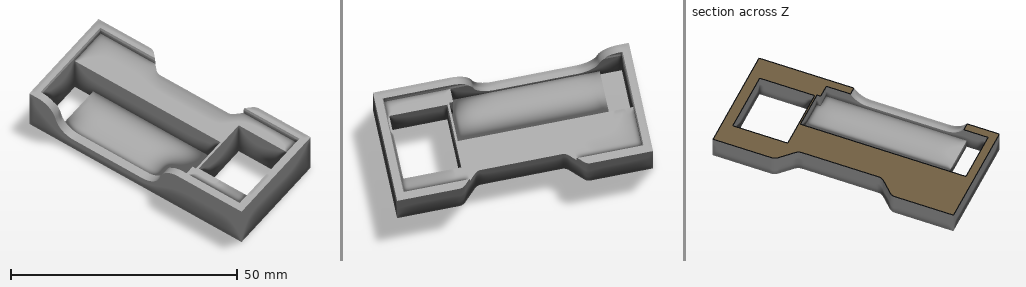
import cadquery as cq
import math

LENGTH = 57.8
WIDTH = 26.2
HEIGHT = 10.6

SHELF_Z = 9.0
RIM_TOP_WALL = 1.8
RIM_BASE_WALL = 2.02
RIM_BEVEL_DEPTH = 0.55

POCKET_FLOOR_Z = 2.0
POCKET_LEFT = RIM_BASE_WALL
POCKET_FRONT = RIM_BASE_WALL
POCKET_RIGHT = 41.65
POCKET_BACK = 14.45
STEP_X = 40.75
STEP_Y = 5.2

SLOT_RIGHT = 7.0
WINDOW_LEFT = 42.15
WINDOW_FRONT = 5.55
WINDOW_LENGTH = 13.1
WINDOW_WIDTH = 15.15

NOTCH_DEPTH = 4.0
NOTCH_FLOOR_LENGTH = 20.0
NOTCH_CORNER_RADIUS = 2.0

SCOOP_FLOOR_Z = 3.0
SCOOP_FLAT_LENGTH = 18.7
SCOOP_RADIUS = 5.0
SCOOP_CENTER_X = (POCKET_LEFT + STEP_X) / 2


def box_between(x0, x1, y0, y1, z0, z1):
    """Box given by its limits along each axis."""
    return cq.Workplane("XY").box(x1 - x0, y1 - y0, z1 - z0, centered=False).translate((x0, y0, z0))


def rim_rectangle(wall, z):
    """Rectangle inset from the outer block by a wall thickness, at height z."""
    return (
        cq.Workplane("XY", origin=(LENGTH / 2, WIDTH / 2, z))
        .rect(LENGTH - 2 * wall, WIDTH - 2 * wall)
    )


def shelf_recess():
    """Straight-sided recess above the shelf, widening in a sloped band at the top."""
    bevel_z = HEIGHT - RIM_BEVEL_DEPTH
    straight = rim_rectangle(RIM_BASE_WALL, SHELF_Z).extrude(HEIGHT - SHELF_Z)
    bevel = (
        rim_rectangle(RIM_BASE_WALL, bevel_z)
        .workplane(offset=RIM_BEVEL_DEPTH)
        .rect(LENGTH - 2 * RIM_TOP_WALL, WIDTH - 2 * RIM_TOP_WALL)
        .loft(ruled=True)
    )
    return straight.union(bevel)


def front_rim_relief():
    """Trim along the front rim: upright at the top, sloping out to the shelf at the bottom."""
    profile = [
        (RIM_TOP_WALL, HEIGHT),
        (RIM_TOP_WALL, SHELF_Z + RIM_BEVEL_DEPTH),
        (RIM_BASE_WALL, SHELF_Z),
        (RIM_BASE_WALL, HEIGHT),
    ]
    return (
        cq.Workplane("YZ", origin=(RIM_BASE_WALL, 0, 0))
        .polyline(profile).close()
        .extrude(LENGTH - 2 * RIM_BASE_WALL)
    )


def pocket():
    """Deep pocket sunk from the shelf."""
    outline = [
        (POCKET_LEFT, POCKET_FRONT),
        (STEP_X, POCKET_FRONT),
        (STEP_X, STEP_Y),
        (POCKET_RIGHT, STEP_Y),
        (POCKET_RIGHT, POCKET_BACK),
        (POCKET_LEFT, POCKET_BACK),
    ]
    return (
        cq.Workplane("XY", origin=(0, 0, POCKET_FLOOR_Z))
        .polyline(outline).close()
        .extrude(HEIGHT - POCKET_FLOOR_Z)
    )


def bottom_slot():
    """Slot through the pocket floor at its left end."""
    return box_between(POCKET_LEFT, SLOT_RIGHT, POCKET_FRONT, POCKET_BACK, 0, HEIGHT)


def window():
    """Rectangular window through the shelf and the bottom."""
    return box_between(
        WINDOW_LEFT, WINDOW_LEFT + WINDOW_LENGTH,
        WINDOW_FRONT, WINDOW_FRONT + WINDOW_WIDTH,
        0, HEIGHT,
    )


def notched_block():
    """Outer block with the round-cornered notch in its back edge."""
    center_x = LENGTH / 2
    floor_half = NOTCH_FLOOR_LENGTH / 2
    mouth_half = floor_half + NOTCH_DEPTH
    floor_y = WIDTH - NOTCH_DEPTH
    notch_corners = [
        (center_x + mouth_half, WIDTH),
        (center_x + floor_half, floor_y),
        (center_x - floor_half, floor_y),
        (center_x - mouth_half, WIDTH),
    ]
    outline = [(0, 0), (LENGTH, 0), (LENGTH, WIDTH)] + notch_corners + [(0, WIDTH)]
    block = cq.Workplane("XY").polyline(outline).close().extrude(HEIGHT)
    for x, y in notch_corners:
        corner_edge = cq.selectors.NearestToPointSelector((x, y, HEIGHT / 2))
        block = block.edges("|Z").edges(corner_edge).fillet(NOTCH_CORNER_RADIUS)
    return block


def scoop():
    """Opening in the front wall whose sides are S-curves of two equal arcs."""
    arc_rise = (HEIGHT - SCOOP_FLOOR_Z) / 2
    sweep = math.acos(1 - arc_rise / SCOOP_RADIUS)
    arc_run = SCOOP_RADIUS * math.sin(sweep)
    mid_run = SCOOP_RADIUS * math.sin(sweep / 2)
    mid_rise = SCOOP_RADIUS * (1 - math.cos(sweep / 2))

    flat_half = SCOOP_FLAT_LENGTH / 2
    bend_half = flat_half + arc_run
    mouth_half = bend_half + arc_run
    bend_z = SCOOP_FLOOR_Z + arc_rise
    lower_mid = (flat_half + mid_run, SCOOP_FLOOR_Z + mid_rise)
    upper_mid = (mouth_half - mid_run, HEIGHT - mid_rise)

    return (
        cq.Workplane("XZ", origin=(SCOOP_CENTER_X, 0, 0))
        .moveTo(-flat_half, SCOOP_FLOOR_Z)
        .lineTo(flat_half, SCOOP_FLOOR_Z)
        .threePointArc(lower_mid, (bend_half, bend_z))
        .threePointArc(upper_mid, (mouth_half, HEIGHT))
        .lineTo(-mouth_half, HEIGHT)
        .threePointArc((-upper_mid[0], upper_mid[1]), (-bend_half, bend_z))
        .threePointArc((-lower_mid[0], lower_mid[1]), (-flat_half, SCOOP_FLOOR_Z))
        .close()
        .extrude(-RIM_BASE_WALL)
    )


result = notched_block()
for cutter in (shelf_recess(), front_rim_relief(), pocket(), bottom_slot(), window(), scoop()):
    result = result.cut(cutter)